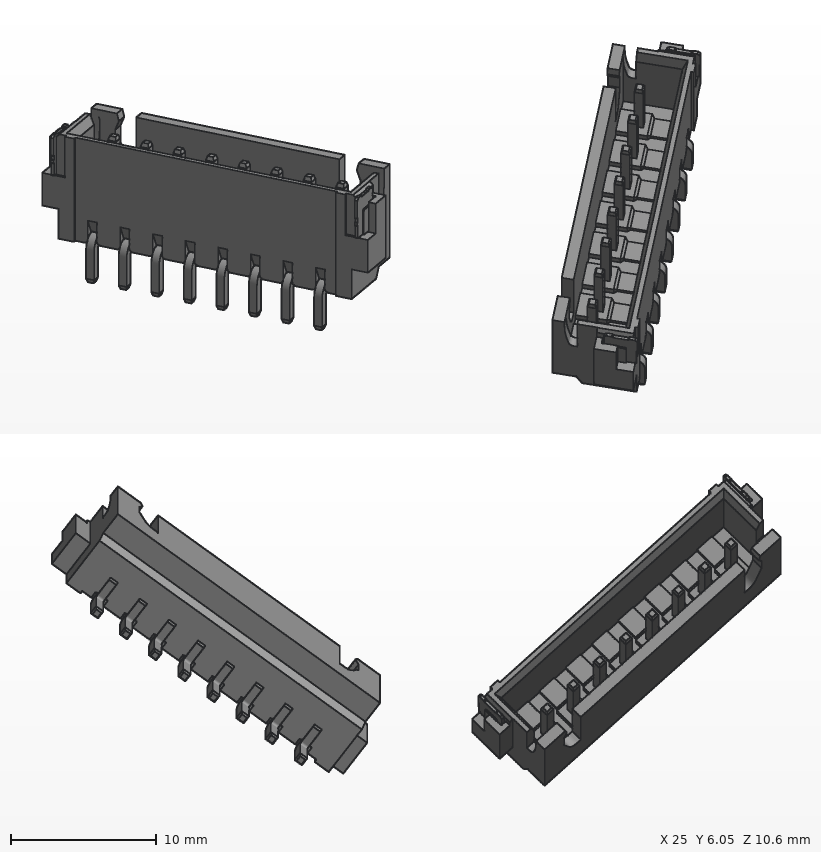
import cadquery as cq


pin_count = 8
pin_pitch = 2.5
pin_size = 0.62
pin_top = 6.88
pin_y = 3.55
pin_tip_z = -2.8
pin_tip_length = 0.3
pin_tip_inset = 0.1
lead_front_y = -0.15
lead_bottom_z = -0.08
lead_top_z = 0.72
lead_outer_radius = 1.1
lead_inner_radius = 0.2
lead_exit_y = 1.98
pin_xs = [(i - (pin_count - 1) / 2) * pin_pitch for i in range(pin_count)]

overall_length = 25.0
body_length = 22.5
body_back_y = 5.9
body_height = 7.8
front_wall_y = 0.2
front_wall_length = 20.1
rear_step_height = 0.75
rear_step_y = 4.22
rear_step_foot_y = 3.8

cavity_length = 21.15
cavity_front_y = 0.9
cavity_back_y = 5.05
cavity_floor_z = 1.5
lead_in_width = 0.32
lead_in_depth = 0.75

rear_pad_width = 1.8
rear_pad_front_y = 2.65
rear_pad_height = 0.5
front_pad_width = 1.42
front_pad_height = 0.25
pad_bevel = 0.2

end_slot_front_y = 4.15
end_slot_floor_z = 4.8
end_slot_foot_y = 4.25
end_slot_foot_curve_middle = (4.58, 4.85)
end_slot_curve_bottom = (4.75, 5.05)
end_slot_curve_middle = (4.95, 5.98)
end_slot_curve_top_z = 7.25
back_slot_inner_x = 7.8
back_slot_floor_x = 8.12
back_slot_floor_z = 3.4
latch_top_x = 9.28
latch_nose = (9.12, 7.25)
latch_waist_x = 9.4
latch_waist_top_z = 6.55
latch_waist_bottom_z = 5.25
latch_root = (9.15, 4.62)
latch_foot = (8.88, 3.95)
latch_foot_curve_middle = (8.58, 3.55)

notch_width = 0.7
notch_top_z = 1.72
notch_ramp_depth = 0.5
notch_flare = 0.18

ear_back_y = 2.75
ear_bottom_z = 2.25
ear_top_z = 6.98
ear_pocket_y = 1.2
ear_pocket_floor_z = 4.72
ear_wall_x = 11.95
ear_slot_back_y = 2.32
shoulder_x = 11.52
shoulder_chamfer = 0.25
pocket_inner_x = 10.75

clip_inner_x = 11.55
clip_outer_x = 11.78
clip_front_y = lead_front_y
clip_back_y = 2.2
clip_shank_y = -0.08
clip_barb_bottom_z = 5.68
clip_barb_top_z = 5.92
clip_head_z = 6.22
clip_top_z = 7.75
clip_corner = 0.18
clip_notch_depth = 0.1
clip_notch_front_y = 0.4
clip_notch_back_y = 1.65
clip_panel_front_y = 0.62
clip_panel_back_y = 1.75
clip_panel_top_z = 6.6
clip_panel_corner = 0.1
clip_panel_height = 0.1


def box(x0, x1, y0, y1, z0, z1):
    """Box between opposite corners."""
    return cq.Workplane("XY").box(x1 - x0, y1 - y0, z1 - z0, centered=False).translate((x0, y0, z0))


def side_prism(outline, x0, x1):
    """Closed polygon in Y and Z, extruded from x0 to x1."""
    return cq.Workplane("YZ", origin=(x0, 0, 0)).polyline(outline).close().extrude(x1 - x0)


def both_ends(shape):
    """The shape at the +X end together with its mirror image at the -X end."""
    return shape.union(shape.mirror("YZ"))


def make_body():
    """Solid housing block, stepped below at the rear and set back along the front wall."""
    outline = [
        (0, 0), (rear_step_foot_y, 0), (rear_step_y, rear_step_height), (body_back_y, rear_step_height),
        (body_back_y, body_height), (0, body_height),
    ]
    half = body_length / 2
    body = side_prism(outline, -half, half)
    half_front = front_wall_length / 2
    return body.cut(box(-half_front, half_front, 0, front_wall_y, 0, body_height))


def make_cavity():
    """Mating cavity with a tapered lead-in along the front and end walls."""
    half = cavity_length / 2
    well = box(-half, half, cavity_front_y, cavity_back_y, cavity_floor_z, body_height)
    mouth_half = half + lead_in_width
    mouth_front_y = cavity_front_y - lead_in_width
    mouth_corners = [
        (-mouth_half, mouth_front_y), (mouth_half, mouth_front_y),
        (mouth_half, cavity_back_y), (-mouth_half, cavity_back_y),
    ]
    throat_corners = [
        (-half, cavity_front_y), (half, cavity_front_y), (half, cavity_back_y), (-half, cavity_back_y),
    ]
    lead_in = (
        cq.Workplane("XY", origin=(0, 0, body_height - lead_in_depth)).polyline(throat_corners).close()
        .workplane(offset=lead_in_depth).polyline(mouth_corners).close().loft(ruled=True)
    )
    return well.union(lead_in)


def make_pad(x):
    """Raised floor pad around a pin, with a lower pad in front of it."""
    rear = box(x - rear_pad_width / 2, x + rear_pad_width / 2, rear_pad_front_y, cavity_back_y,
               cavity_floor_z, cavity_floor_z + rear_pad_height)
    rear = rear.edges(">Z and <Y").chamfer(pad_bevel)
    rear = rear.edges("|Z and <Y").chamfer(pad_bevel)
    front = box(x - front_pad_width / 2, x + front_pad_width / 2, cavity_front_y, rear_pad_front_y,
                cavity_floor_z, cavity_floor_z + front_pad_height)
    return rear.union(front)


def make_end_slot():
    """Slot down the +X end wall, its rear side curving out towards the floor of the slot."""
    half = body_length / 2
    return (
        cq.Workplane("YZ", origin=(cavity_length / 2, 0, 0))
        .moveTo(end_slot_front_y, body_height).lineTo(end_slot_front_y, end_slot_floor_z)
        .lineTo(end_slot_foot_y, end_slot_floor_z)
        .threePointArc(end_slot_foot_curve_middle, end_slot_curve_bottom)
        .threePointArc(end_slot_curve_middle, (cavity_back_y, end_slot_curve_top_z))
        .lineTo(cavity_back_y, body_height).close().extrude(half - cavity_length / 2)
    )


def make_back_slot():
    """Slot down the back wall that leaves a hooked latch post at the +X end."""
    return (
        cq.Workplane("XZ", origin=(0, body_back_y, 0))
        .moveTo(back_slot_inner_x, body_height).lineTo(latch_top_x, body_height).lineTo(*latch_nose)
        .lineTo(latch_waist_x, latch_waist_top_z).lineTo(latch_waist_x, latch_waist_bottom_z)
        .lineTo(*latch_root).lineTo(*latch_foot)
        .threePointArc(latch_foot_curve_middle, (back_slot_floor_x, back_slot_floor_z))
        .lineTo(back_slot_inner_x, back_slot_floor_z).close()
        .extrude(body_back_y - cavity_back_y)
    )


def make_notch(x):
    """Opening for a lead, with a sloping roof and flared bottom corners."""
    inner_y = front_wall_y + notch_ramp_depth
    ramp = [
        (front_wall_y, lead_bottom_z), (front_wall_y, notch_top_z),
        (inner_y, lead_top_z), (inner_y, lead_bottom_z),
    ]
    half = notch_width / 2
    notch = side_prism(ramp, x - half, x + half)
    flare = (
        cq.Workplane("XZ", origin=(x, front_wall_y, 0))
        .polyline([(-half - notch_flare, 0), (-half, notch_flare), (half, notch_flare), (half + notch_flare, 0)])
        .close().extrude(-notch_ramp_depth)
    )
    return notch.union(flare)


def make_ear():
    """Ear on the +X end, with a clip slot, an open front pocket and the shoulder behind the clip."""
    body_end = body_length / 2
    ear = box(body_end, overall_length / 2, 0, ear_back_y, ear_bottom_z, ear_top_z)
    ear = ear.cut(box(body_end, ear_wall_x, 0, ear_slot_back_y, ear_pocket_floor_z, ear_top_z))
    ear = ear.cut(box(body_end, overall_length / 2, 0, ear_pocket_y, ear_pocket_floor_z, ear_top_z))
    shoulder = box(body_end, shoulder_x, front_wall_y, ear_back_y, ear_bottom_z, body_height)
    shoulder = shoulder.edges(">X and >Z").chamfer(shoulder_chamfer)
    return ear.union(shoulder)


def make_corner_pocket():
    """Shallow step in the front corner of the body, continuing the pocket of the ear."""
    return box(pocket_inner_x, body_length / 2, 0, front_wall_y, ear_pocket_floor_z, body_height)


def make_clip():
    """Thin upright plate with a notched top, a barbed front edge and a raised panel on its outer face."""
    outline = [
        (clip_shank_y, ear_pocket_floor_z), (clip_shank_y, clip_barb_bottom_z),
        (clip_front_y, clip_barb_bottom_z), (clip_front_y, clip_barb_top_z),
        (clip_shank_y, clip_barb_top_z), (clip_shank_y, clip_head_z),
        (clip_front_y, clip_head_z), (clip_front_y, clip_top_z - clip_corner),
        (clip_front_y + clip_corner, clip_top_z), (clip_notch_front_y, clip_top_z),
        (clip_notch_front_y + clip_notch_depth, clip_top_z - clip_notch_depth),
        (clip_notch_back_y - clip_notch_depth, clip_top_z - clip_notch_depth),
        (clip_notch_back_y, clip_top_z), (clip_back_y - clip_corner, clip_top_z),
        (clip_back_y, clip_top_z - clip_corner), (clip_back_y, ear_pocket_floor_z),
    ]
    plate = side_prism(outline, clip_inner_x, clip_outer_x)
    panel = box(clip_inner_x, clip_outer_x + clip_panel_height, clip_panel_front_y, clip_panel_back_y,
                 ear_pocket_floor_z, clip_panel_top_z)
    panel = panel.edges("|X and >Z").chamfer(clip_panel_corner)
    return plate.union(panel)


def make_tip(x, y, z, direction):
    """Tapered pin end starting at z, pointing up (1) or down (-1)."""
    tip_size = pin_size - 2 * pin_tip_inset
    return (
        cq.Workplane("XY", origin=(x, y, z)).rect(pin_size, pin_size)
        .workplane(offset=direction * pin_tip_length).rect(tip_size, tip_size).loft(ruled=True)
    )


def make_pin(x):
    """Pin that rises into the cavity and bends down in front of the housing."""
    half = pin_size / 2
    lead_back_y = lead_front_y + pin_size
    lead_tip_z = pin_tip_z + pin_tip_length
    head_z = pin_top - pin_tip_length
    pin = (
        cq.Workplane("YZ", origin=(x - half, 0, 0))
        .moveTo(lead_front_y, lead_tip_z).lineTo(lead_front_y, lead_top_z - lead_outer_radius)
        .radiusArc((lead_front_y + lead_outer_radius, lead_top_z), lead_outer_radius)
        .lineTo(pin_y - half, lead_top_z).lineTo(pin_y - half, head_z)
        .lineTo(pin_y + half, head_z).lineTo(pin_y + half, rear_step_height)
        .lineTo(lead_exit_y, lead_bottom_z)
        .lineTo(lead_back_y + lead_inner_radius, lead_bottom_z)
        .radiusArc((lead_back_y, lead_bottom_z - lead_inner_radius), -lead_inner_radius)
        .lineTo(lead_back_y, lead_tip_z).close().extrude(pin_size)
    )
    lead_tip = make_tip(x, lead_front_y + half, lead_tip_z, -1)
    return pin.union(lead_tip).union(make_tip(x, pin_y, head_z, 1))


result = make_body().union(both_ends(make_ear()))
result = result.cut(make_cavity())
result = result.cut(both_ends(make_end_slot())).cut(both_ends(make_back_slot()))
result = result.cut(both_ends(make_corner_pocket()))
result = result.union(both_ends(make_clip()))
for x in pin_xs:
    result = result.cut(make_notch(x)).union(make_pad(x)).union(make_pin(x))